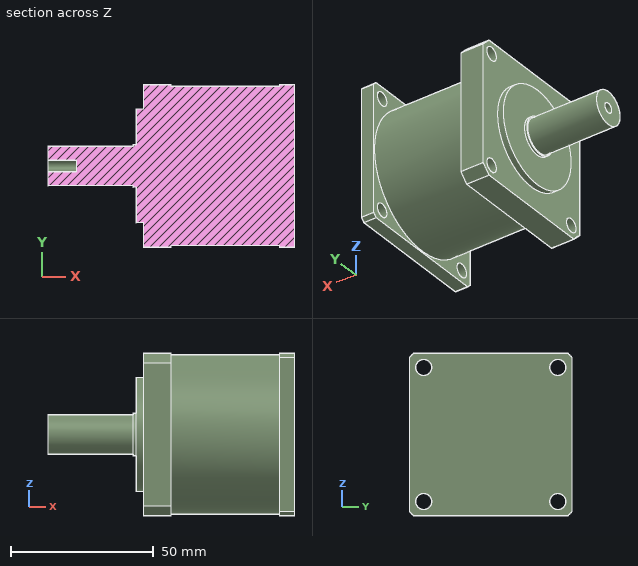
import cadquery as cq

total_length = 86.5
shaft_length = 29.9
collar_length = 1.0
pilot_length = 2.5
front_flange_thickness = 9.7
rear_flange_thickness = 5.4

collar_start = shaft_length
pilot_start = collar_start + collar_length
front_flange_start = pilot_start + pilot_length
body_start = front_flange_start + front_flange_thickness
rear_flange_start = total_length - rear_flange_thickness
body_length = rear_flange_start - body_start

shaft_diameter = 13.9
collar_diameter = 15.0
pilot_diameter = 40.0
body_diameter = 56.0
flange_side = 57.0
front_corner_chamfer = 3.5
rear_corner_chamfer = 1.5

mounting_hole_spacing = 47.0
mounting_hole_diameter = 5.5
shaft_hole_diameter = 4.0
shaft_hole_depth = 10.0


def cylinder(start, length, diameter):
    """Round section centred on the X axis."""
    return cq.Workplane("YZ", origin=(start, 0, 0)).circle(diameter / 2).extrude(length)


def flange(start, thickness, corner_chamfer):
    """Square plate with chamfered corners and four mounting holes."""
    plate = cq.Workplane("YZ", origin=(start, 0, 0)).rect(flange_side, flange_side).extrude(thickness)
    plate = plate.edges("|X").chamfer(corner_chamfer)
    holes = (
        cq.Workplane("YZ", origin=(start, 0, 0))
        .rect(mounting_hole_spacing, mounting_hole_spacing, forConstruction=True)
        .vertices()
        .circle(mounting_hole_diameter / 2)
        .extrude(thickness)
    )
    return plate.cut(holes)


result = cylinder(0, shaft_length, shaft_diameter)
result = result.union(cylinder(collar_start, collar_length, collar_diameter))
result = result.union(cylinder(pilot_start, pilot_length, pilot_diameter))
result = result.union(flange(front_flange_start, front_flange_thickness, front_corner_chamfer))

result = result.union(cylinder(body_start, body_length, body_diameter))
result = result.union(flange(rear_flange_start, rear_flange_thickness, rear_corner_chamfer))

result = result.cut(cylinder(0, shaft_hole_depth, shaft_hole_diameter))